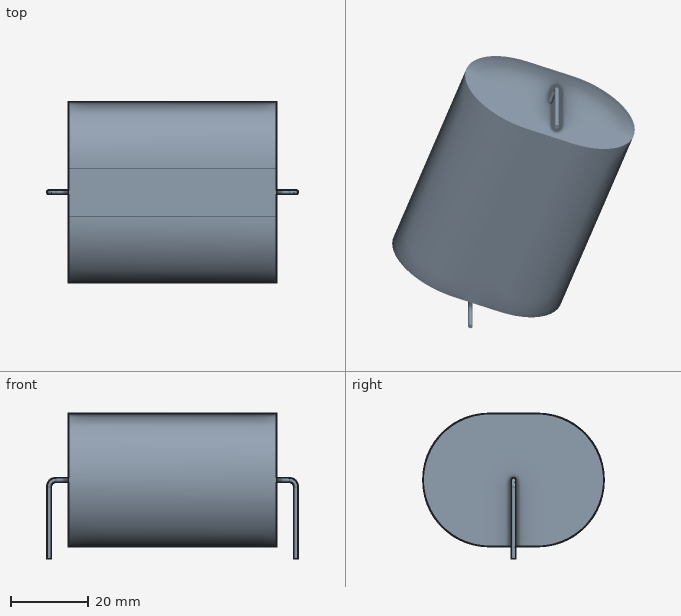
import cadquery as cq

overall_length = 65.2
body_length = 54.05
body_width = 47.0
body_height = 34.55
lead_diameter = 1.2
lead_bend_radius = 1.75
lead_drop = 20.5

body_end_x = body_length / 2
lead_leg_x = (overall_length - lead_diameter) / 2


def make_body():
    """Flattened cylinder: a stadium cross-section extruded along X."""
    return (
        cq.Workplane("YZ")
        .slot2D(body_width, body_height)
        .extrude(body_length / 2, both=True)
    )


def make_lead(side):
    """Round wire leaving an end face (side -1 or +1) and bending down."""
    bend_start_x = lead_leg_x - lead_bend_radius
    bend_end = (side * lead_leg_x, -lead_bend_radius)
    path = (
        cq.Workplane("XZ")
        .moveTo(side * body_end_x, 0)
        .lineTo(side * bend_start_x, 0)
        .tangentArcPoint(bend_end, relative=False)
        .lineTo(side * lead_leg_x, -lead_drop)
    )
    return (
        cq.Workplane("YZ", origin=(side * body_end_x, 0, 0))
        .circle(lead_diameter / 2)
        .sweep(path)
    )


body = make_body()
leads = [make_lead(side) for side in (-1, 1)]

result = cq.Compound.makeCompound([body.val(), *[lead.val() for lead in leads]])